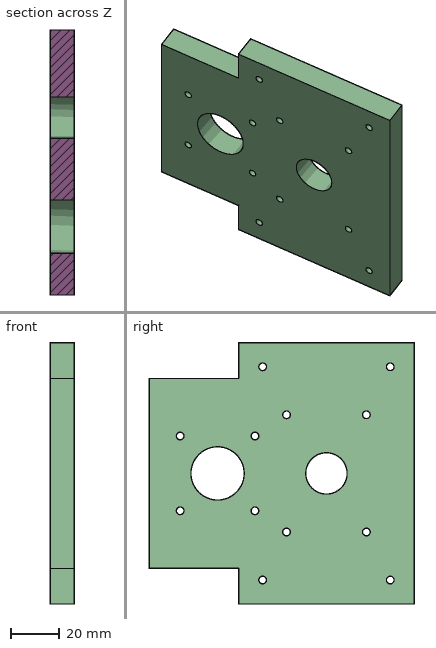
import cadquery as cq

thickness = 10.0
length = 110.2
height = 108.6

body_length = 73.0
tongue_height = 79.0

body_bore_diameter = 17.1
tongue_bore_diameter = 22.0
screw_diameter = 3.1
edge_margin = 10.0
inner_spacing_y = 33.2
inner_spacing_z = 48.7
tongue_spacing = 31.1
tongue_bore_from_end = 28.4

body_center_y = length / 2 - body_length / 2
tongue_center_y = -length / 2 + tongue_bore_from_end


def through_hole(y, z, diameter):
    """Cylinder along X that passes through the plate."""
    return (
        cq.Workplane("YZ")
        .center(y, z)
        .circle(diameter / 2)
        .extrude(thickness, both=True)
    )


def drill_pattern(plate, center_y, spacing_y, spacing_z):
    """Drill four screw holes at the corners of a rectangle."""
    for side_y in (-1, 1):
        for side_z in (-1, 1):
            y = center_y + side_y * spacing_y / 2
            z = side_z * spacing_z / 2
            plate = plate.cut(through_hole(y, z, screw_diameter))
    return plate


body = cq.Workplane("XY").box(thickness, body_length, height).translate((0, body_center_y, 0))
tongue = cq.Workplane("XY").box(thickness, length, tongue_height)
plate = body.union(tongue)

plate = plate.cut(through_hole(body_center_y, 0, body_bore_diameter))
plate = plate.cut(through_hole(tongue_center_y, 0, tongue_bore_diameter))

plate = drill_pattern(plate, body_center_y, body_length - 2 * edge_margin, height - 2 * edge_margin)
plate = drill_pattern(plate, body_center_y, inner_spacing_y, inner_spacing_z)
plate = drill_pattern(plate, tongue_center_y, tongue_spacing, tongue_spacing)

result = plate